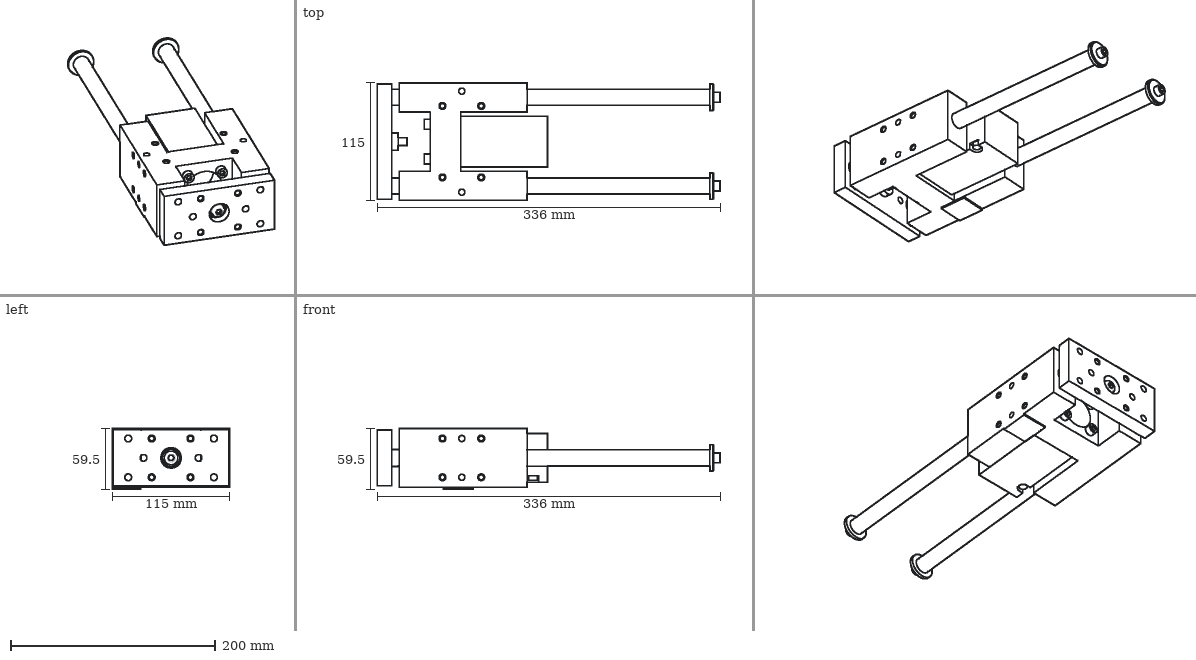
import cadquery as cq
import math


plate_thickness = 14.5
plate_width = 113.0
plate_height = 55.0

housing_gap = 7.0
housing_length = 125.5
housing_width = 115.0
housing_height = 58.0
housing_front = plate_thickness + housing_gap
housing_back = housing_front + housing_length
arm_spacing = 58.0
web_front = 52.0
web_thickness = 30.0
web_back = web_front + web_thickness
web_bore_diameter = 37.0
housing_bottom = -housing_height / 2
pad_length = 29.0
pad_width = 28.0
pad_thickness = 1.5
pad_front = 65.0

block_back = 167.0
block_width = 50.0
block_height = 48.0
notch_width = 11.0
notch_height = 6.5
notch_center_x = 152.8
notch_center_y = -20.5
notch_screw_diameter = 8.0
notch_screw_height = 4.5

rod_diameter = 16.0
rod_spacing = 87.0
total_length = 336.0
washer_diameter = 26.0
washer_thickness = 4.0
washer_chamfer = 1.0

screw_head_diameter = 10.0
screw_head_height = 6.0
screw_socket_size = 4.92
screw_socket_depth = 3.0
web_screw_spacing = 34.0
washer_back = total_length - screw_head_height
washer_front = washer_back - washer_thickness

counterbore_diameter = 20.0
counterbore_depth = 9.0
collar_diameter = 17.0
collar_length = 6.0
stud_diameter = 8.0
stud_length = 9.0
stud_washer_thickness = 1.6
stud_head_diameter = 13.5
stud_head_height = 6.0
stud_head_fillet = 3.0
stud_socket_size = 5.0
stud_socket_depth = 3.0

hole_pitch = 38.0
pattern_center = 83.0
dowel_diameter = 6.0
dowel_depth = 6.0
thread_core_diameter = 4.92
thread_mouth_diameter = 6.6
thread_depth = 12.0
drill_angle = 118.0
mouth_angle = 90.0
top_thread_spacing = 70.0
top_dowel_spacing = 99.0
plate_corner_hole_spacing = 84.0
plate_corner_hole_diameter = 6.6
plate_middle_hole_spacing = 54.0
plate_middle_hole_diameter = 6.6


def box(x_min, x_max, width, height):
    """Block centred on the axis of the drive, from x_min to x_max."""
    length = x_max - x_min
    return cq.Workplane("XY").box(length, width, height).translate((x_min + length / 2, 0, 0))


def rod_along_x(x_min, x_max, diameter, y=0.0, z=0.0):
    """Round bar parallel to X."""
    return cq.Workplane("YZ", origin=(x_min, y, z)).circle(diameter / 2).extrude(x_max - x_min)


def drilled_hole(point, direction, diameter, depth):
    """Flat-bottomed round cutter that goes in from a point on a face."""
    return cq.Workplane(cq.Solid.makeCylinder(diameter / 2, depth, cq.Vector(*point), cq.Vector(*direction)))


def tapped_hole(point, direction):
    """Cutter for a threaded hole: countersunk mouth, core bore and conical drill tip."""
    start = cq.Vector(*point)
    axis = cq.Vector(*direction)
    core = thread_core_diameter / 2
    mouth = thread_mouth_diameter / 2
    tip_length = core / math.tan(math.radians(drill_angle / 2))
    mouth_length = (mouth - core) / math.tan(math.radians(mouth_angle / 2))
    bore = cq.Solid.makeCylinder(core, thread_depth, start, axis)
    tip = cq.Solid.makeCone(core, 0, tip_length, start + axis * thread_depth, axis)
    countersink = cq.Solid.makeCone(mouth, core, mouth_length, start, axis)
    return cq.Workplane(bore.fuse(tip, countersink))


def hex_socket(x_front, size, depth, y=0.0, z=0.0):
    """Hexagonal key socket cutter; size is measured across the flats."""
    across_corners = size / math.cos(math.radians(30))
    return cq.Workplane("YZ", origin=(x_front, y, z)).polygon(6, across_corners).extrude(depth)


def make_block():
    """Cylinder block behind the web, with a screw in a round-ended notch in its lower -Y edge."""
    block = box(web_back, block_back, block_width, block_height)
    notch_bottom = -block_height / 2
    notch_top = notch_bottom + notch_height
    round_end = (
        cq.Workplane("XY", origin=(notch_center_x, notch_center_y, notch_bottom))
        .circle(notch_width / 2)
        .extrude(notch_height)
    )
    opening_length = block_width / 2 + notch_center_y
    opening = (
        cq.Workplane("XY", origin=(notch_center_x, notch_center_y - opening_length / 2, notch_bottom))
        .rect(notch_width, opening_length)
        .extrude(notch_height)
    )
    screw_head = (
        cq.Workplane("XY", origin=(notch_center_x, notch_center_y, notch_top))
        .circle(notch_screw_diameter / 2)
        .extrude(-notch_screw_height)
    )
    return block.cut(round_end).cut(opening).union(screw_head)


def make_housing():
    housing = box(housing_front, housing_back, housing_width, housing_height)
    housing = housing.cut(box(housing_front, web_front, arm_spacing, housing_height))
    housing = housing.cut(box(web_back, housing_back, arm_spacing, housing_height))
    housing = housing.cut(rod_along_x(web_front, web_back, web_bore_diameter))

    pad = cq.Workplane("XY").box(pad_length, pad_width, pad_thickness, centered=False)
    pad_side = housing_width / 2 - pad_width
    housing = housing.union(pad.translate((pad_front, pad_side, housing_bottom - pad_thickness)))

    housing = housing.union(make_block())

    for y in (-web_screw_spacing / 2, web_screw_spacing / 2):
        for z in (-web_screw_spacing / 2, web_screw_spacing / 2):
            head_front = web_front - screw_head_height
            housing = housing.union(rod_along_x(head_front, web_front, screw_head_diameter, y, z))
            housing = housing.cut(hex_socket(head_front, screw_socket_size, screw_socket_depth, y, z))

    for side in (-1, 1):
        housing = housing.cut(
            rod_along_x(housing_front, housing_back, rod_diameter, side * rod_spacing / 2)
        )

        inward = (0, -side, 0)
        side_y = side * housing_width / 2
        for z in (-hole_pitch / 2, hole_pitch / 2):
            dowel_point = (pattern_center, side_y, z)
            housing = housing.cut(drilled_hole(dowel_point, inward, dowel_diameter, dowel_depth))
            for x in (pattern_center - hole_pitch / 2, pattern_center + hole_pitch / 2):
                housing = housing.cut(tapped_hole((x, side_y, z), inward))

        down = (0, 0, -1)
        top_z = housing_bottom + housing_height
        dowel_point = (pattern_center, side * top_dowel_spacing / 2, top_z)
        housing = housing.cut(drilled_hole(dowel_point, down, dowel_diameter, dowel_depth))
        for x in (pattern_center - hole_pitch / 2, pattern_center + hole_pitch / 2):
            housing = housing.cut(tapped_hole((x, side * top_thread_spacing / 2, top_z), down))
    return housing


def make_carriage():
    carriage = box(0, plate_thickness, plate_width, plate_height)

    collar_back = plate_thickness + collar_length
    carriage = carriage.cut(rod_along_x(0, counterbore_depth, counterbore_diameter))
    washer_face = counterbore_depth - stud_washer_thickness
    carriage = carriage.union(rod_along_x(washer_face, counterbore_depth, collar_diameter))
    head_front = washer_face - stud_head_height
    head = rod_along_x(head_front, washer_face, stud_head_diameter)
    head = head.faces("<X").edges().fillet(stud_head_fillet)
    head = head.cut(hex_socket(head_front, stud_socket_size, stud_socket_depth))
    carriage = carriage.union(head)
    carriage = carriage.union(rod_along_x(plate_thickness, collar_back, collar_diameter))
    carriage = carriage.union(rod_along_x(collar_back, collar_back + stud_length, stud_diameter))

    for side in (-1, 1):
        y_corner = side * plate_corner_hole_spacing / 2
        y_middle = side * plate_middle_hole_spacing / 2
        carriage = carriage.cut(rod_along_x(0, plate_thickness, plate_middle_hole_diameter, y_middle))
        for z in (-hole_pitch / 2, hole_pitch / 2):
            carriage = carriage.cut(rod_along_x(0, plate_thickness, plate_corner_hole_diameter, y_corner, z))
            carriage = carriage.cut(tapped_hole((0, side * hole_pitch / 2, z), (1, 0, 0)))

        y_rod = side * rod_spacing / 2
        carriage = carriage.union(rod_along_x(plate_thickness, washer_front, rod_diameter, y_rod))
        washer = rod_along_x(washer_front, washer_back, washer_diameter, y_rod)
        carriage = carriage.union(washer.faces(">X").edges().chamfer(washer_chamfer))
        carriage = carriage.union(rod_along_x(washer_back, total_length, screw_head_diameter, y_rod))
        socket_front = total_length - screw_socket_depth
        carriage = carriage.cut(hex_socket(socket_front, screw_socket_size, screw_socket_depth, y_rod))
    return carriage


housing = make_housing()
carriage = make_carriage()
result = cq.Compound.makeCompound([housing.val(), carriage.val()])